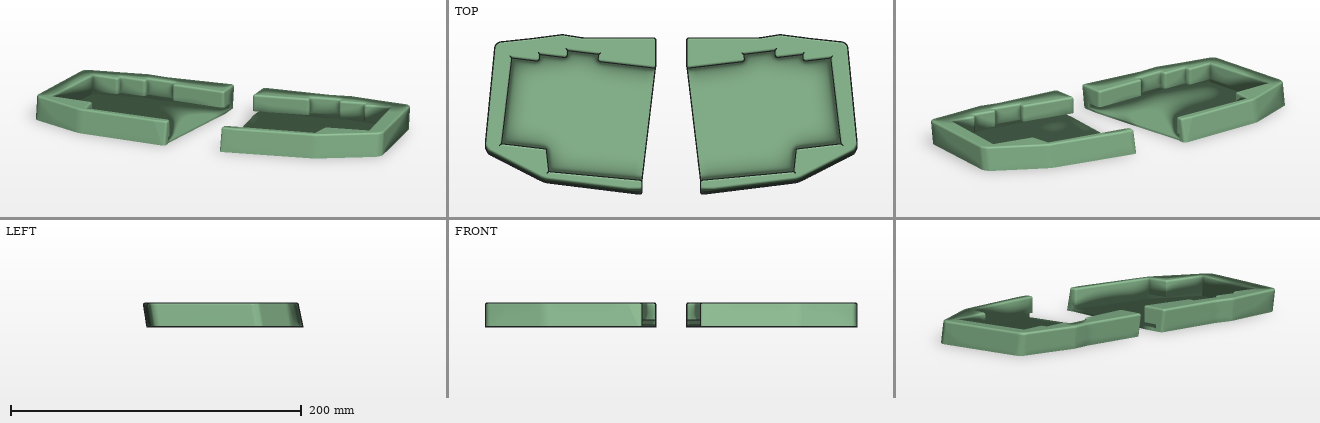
import cadquery as cq
import math


HEIGHT = 16.5
LEAN = 2.6
SPLAY = 6.8
TOP_FILLET = 1.5
END_FILLET = 1.8

BACK_END_X = -10.5
FRONT_END_X = -20.0
FRONT_END_Y = -55.1
BACK_Y = 50.4
STEP_Y = 0

FRONT_END = (FRONT_END_X, FRONT_END_Y, 0)
BACK_END = (BACK_END_X, BACK_Y, 0)

CLOSED_SIDE = [
    (-60.5, BACK_Y, 33),
    (-74.9, 52.7, 7),
    (-95.8, 50.0, 60),
    (-121.2, 47.3, 5),
    (-128.07, -22.7, 5),
    (-126.0, -27.0, 5),
    (-87.3, -46.8, 17),
]
OUTLINE = [
    FRONT_END,
    (FRONT_END_X, STEP_Y, 0),
    (BACK_END_X, STEP_Y, 0),
    BACK_END,
    *CLOSED_SIDE,
]

FACET_INSET_FOOT = 0.3
FACET_INSET_TOP = 1.2
FACET_REACH = 20

KEY_COLUMNS = [-113.6, -94.7, -75.9, -54.5]
BACK_STEPS = [25.6, 30.3, 35.2]
LEFT_FRONT_Y = -33.8
TAB_BACK_X = -82.6
TAB_FRONT_X = -79.1
FRONT_LEFT_Y = -49.0
FRONT_RIGHT_Y = -46.3
BEYOND = 30
STEP_FILLET = 1.8
TAB_FILLET = 1.0

WELL = [
    (KEY_COLUMNS[0], LEFT_FRONT_Y, 0),
    (TAB_BACK_X, LEFT_FRONT_Y, TAB_FILLET),
    (TAB_FRONT_X, FRONT_LEFT_Y, 0),
    (BEYOND, FRONT_RIGHT_Y, 0),
    (BEYOND, BACK_STEPS[1], 0),
    (KEY_COLUMNS[3], BACK_STEPS[1], STEP_FILLET),
    (KEY_COLUMNS[3], BACK_STEPS[2], 0),
    (KEY_COLUMNS[2], BACK_STEPS[2], 0),
    (KEY_COLUMNS[2], BACK_STEPS[1], STEP_FILLET),
    (KEY_COLUMNS[1], BACK_STEPS[1], 0),
    (KEY_COLUMNS[1], BACK_STEPS[0], STEP_FILLET),
    (KEY_COLUMNS[0], BACK_STEPS[0], 0),
]

WALL = 5.5
SIDE_UNDERCUT = 2.7
CAVITY_TOP = 4.9
PLATE_THICKNESS = 1.3
PLATE_EDGE = -14.6
BAND_LENGTH = 200


def rounded_outline(corners):
    """Closed wire through (x, y, radius) corners, each rounded by an arc of its radius."""
    outline = cq.Workplane("XY").polyline([(x, y) for x, y, _ in corners]).close().wire().val()
    for x, y, radius in corners:
        if radius:
            corner = min(outline.Vertices(), key=lambda v: math.hypot(v.X - x, v.Y - y))
            outline = outline.fillet2D(radius, [corner])
    return outline


def extruded(outline, lean, height):
    """Solid on an outline, its top shifted by lean along Y."""
    return cq.Workplane(cq.Solid.extrudeLinear(outline, [], cq.Vector(0, lean, height)))


def splayed(body):
    """The body turned from the axes of the key well into those of the case."""
    return body.rotate((0, 0, 0), (0, 0, 1), -SPLAY)


def key_well():
    return splayed(extruded(rounded_outline(WELL), 0, HEIGHT))


def front_facet():
    """Cutter whose slanted face runs along X across the front end."""
    outside_y = FRONT_END_Y - FACET_REACH
    profile = [
        (FRONT_END_Y + FACET_INSET_FOOT, 0),
        (FRONT_END_Y + LEAN + FACET_INSET_TOP, HEIGHT),
        (outside_y, HEIGHT),
        (outside_y, 0),
    ]
    plane = cq.Workplane("YZ", origin=(FRONT_END_X - FACET_REACH, 0, 0))
    return plane.polyline(profile).close().extrude(2 * FACET_REACH)


def splayed_band(left, right, height):
    """Block between two edges that run along the side of the key well."""
    width = right - left
    block = cq.Workplane("XY").center(left + width / 2, 0).rect(width, BAND_LENGTH).extrude(height)
    return splayed(block)


def cavity(right_edge, height):
    """Space inside the walls from the ground up, ending at right_edge in the turned axes."""
    run_out = BEYOND - BACK_END_X
    front_slope = math.tan(math.radians(SPLAY))
    corners = [
        (FRONT_END_X + run_out, FRONT_END_Y - run_out * front_slope),
        (BACK_END_X + run_out, BACK_Y),
        *[(x, y) for x, y, _ in CLOSED_SIDE],
    ]
    inside = cq.Workplane("XY").polyline(corners).close().offset2D(-WALL).extrude(height)
    return inside.intersect(splayed_band(KEY_COLUMNS[0] - SIDE_UNDERCUT, right_edge, height))


def open_end_edges(body):
    """The upright edges at the open ends of the back and front walls."""
    margin = 0.5
    case_reach = BAND_LENGTH / 2
    region = cq.selectors.BoxSelector(
        (FRONT_END_X - margin, -case_reach, HEIGHT / 4),
        (BACK_END_X + margin, case_reach, HEIGHT * 3 / 4),
    )
    return body.edges(region)


def make_case():
    body = extruded(rounded_outline(OUTLINE), LEAN, HEIGHT).cut(key_well()).cut(front_facet())
    body = open_end_edges(body).fillet(END_FILLET)
    body = body.faces(">Z").edges().fillet(TOP_FILLET)
    return body.cut(cavity(BEYOND, CAVITY_TOP))


def make_plate():
    plate = cavity(PLATE_EDGE, PLATE_THICKNESS)
    past_end = cq.Workplane("XY", origin=(BACK_END_X + BEYOND / 2, 0, 0))
    return plate.cut(past_end.rect(BEYOND, BAND_LENGTH).extrude(PLATE_THICKNESS))


left_case = make_case()
left_plate = make_plate()
right_case = left_case.mirror("YZ")
right_plate = left_plate.mirror("YZ")

result = cq.Compound.makeCompound(
    [body.solids().val() for body in (left_case, left_plate, right_case, right_plate)]
)